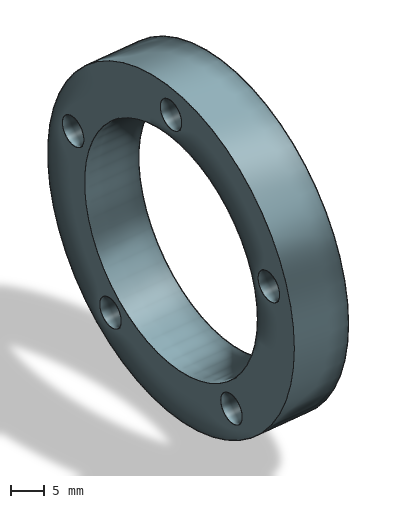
import cadquery as cq

outer_diameter = 60
bore_diameter = 42
thickness = 10.0

hole_count = 5
hole_diameter = 5.2
bolt_circle_radius = 25.0
first_hole_angle = 90

back_face = cq.Workplane("XZ", origin=(0, thickness / 2, 0))

ring = (
    back_face
    .circle(outer_diameter / 2)
    .circle(bore_diameter / 2)
    .extrude(thickness)
)

bolt_holes = (
    back_face
    .polarArray(bolt_circle_radius, first_hole_angle, 360, hole_count)
    .circle(hole_diameter / 2)
    .extrude(thickness)
)

result = ring.cut(bolt_holes)